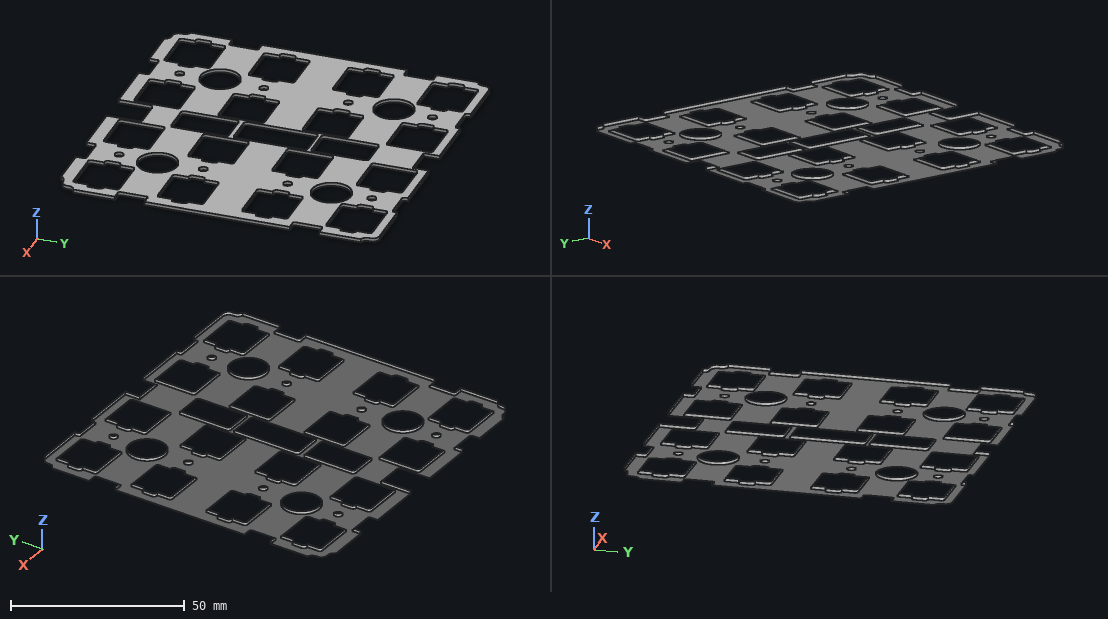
import cadquery as cq
import math

PLATE_SIDE = 100.0
PLATE_DEPTH = 98.5
THICKNESS = 1.11
FRONT_Y = -PLATE_DEPTH / 2
BACK_Y = PLATE_DEPTH / 2
CENTRE_Y = FRONT_Y + PLATE_SIDE / 2

CORNER_LENGTH = 6.0
CORNER_INSET = 1.5
CORNER_RADIUS = 2.0

PITCH = 25.8
OPENING = 14.05
OPENING_RADIUS = 0.8
WING_REACH = 8.3
WING_HEIGHT = 4.8
WING_RADIUS = 1.0

SCREW_DIAMETER = 2.6
LARGE_DIAMETER = 12.0
LARGE_OFFSET = 26.6

NOTCH_WIDTH = 9.0
NOTCH_OFFSET = 26.75
SIDE_NOTCH_DEPTH = 3.2
END_NOTCH_DEPTH = 3.1
NOTCH_RADIUS = 0.6

SLOT_WIDTH = 10.1
SLOT_RADIUS = 1.0
MIDDLE_SLOT_LENGTH = 22.6
OUTER_SLOT_LENGTH = 17.6
BACK_BRIDGE = 1.15
FRONT_BRIDGE = 1.6
FRONT_NOTCH_DEPTH = 10.7
BACK_NOTCH_WIDTH = 9.3
BACK_NOTCH_DEPTH = 4.9

SIGNS = (-1, 1)
COS_45 = math.sqrt(0.5)
ROW_FACTORS = (-1.5, -0.5, 0.5, 1.5)


def block(width, length, x, y, radius=0.0):
    """Through cutter centred on x, y, with rounded vertical edges if a radius is given."""
    solid = cq.Workplane("XY").center(x, y).rect(width, length).extrude(THICKNESS)
    if radius:
        solid = solid.edges("|Z").fillet(radius)
    return solid


def drill(points, diameter):
    return cq.Workplane("XY").pushPoints(points).circle(diameter / 2).extrude(THICKNESS)


def corner_cutter(sign_x, sign_y):
    """Cutter for one stepped corner: a thin L with a rounded bend and rounded ends."""
    edge = PLATE_SIDE / 2
    start = edge - CORNER_LENGTH
    step = edge - CORNER_INSET
    bend = step - CORNER_RADIUS
    bend_mid = bend + CORNER_RADIUS * COS_45
    arc_centre = step + CORNER_RADIUS
    end = start + math.sqrt(CORNER_RADIUS**2 - (arc_centre - edge) ** 2)
    end_across = arc_centre - CORNER_RADIUS * COS_45
    end_along = end - CORNER_RADIUS * COS_45

    def at(x, y):
        return sign_x * x, CENTRE_Y + sign_y * y

    return (
        cq.Workplane("XY")
        .moveTo(*at(edge, edge))
        .lineTo(*at(edge, start))
        .threePointArc(at(end_across, end_along), at(step, end))
        .lineTo(*at(step, bend))
        .threePointArc(at(bend_mid, bend_mid), at(bend, step))
        .lineTo(*at(end, step))
        .threePointArc(at(end_along, end_across), at(start, edge))
        .close()
        .extrude(THICKNESS)
    )


def switch_cutter(x, y, wing_sides):
    """Square switch opening with a rounded wing on each listed side."""
    cutter = block(OPENING, OPENING, x, y, OPENING_RADIUS)
    for side in wing_sides:
        wing = block(WING_REACH, WING_HEIGHT, x + side * WING_REACH / 2, y, WING_RADIUS)
        cutter = cutter.union(wing)
    return cutter


def make_plate():
    plate = block(PLATE_SIDE, PLATE_DEPTH, 0, 0)
    for sign_x in SIGNS:
        for sign_y in SIGNS:
            plate = plate.cut(corner_cutter(sign_x, sign_y))
    return plate


def cut_switch_openings(plate):
    """Inner openings have one wing, facing outward; outer ones have two."""
    for factor in ROW_FACTORS:
        y = CENTRE_Y + factor * PITCH
        for side in SIGNS:
            plate = plate.cut(switch_cutter(side * PITCH / 2, y, (side,)))
            plate = plate.cut(switch_cutter(side * PITCH * 1.5, y, SIGNS))
    return plate


def cut_round_holes(plate):
    screws = [(side * PITCH, CENTRE_Y + factor * PITCH) for side in SIGNS for factor in ROW_FACTORS]
    large = [(sx * LARGE_OFFSET, CENTRE_Y + sy * LARGE_OFFSET) for sx in SIGNS for sy in SIGNS]
    return plate.cut(drill(screws, SCREW_DIAMETER)).cut(drill(large, LARGE_DIAMETER))


def cut_edge_notches(plate):
    """Each cutter straddles an edge of the untrimmed square, so it is twice the notch depth."""
    for edge_side in SIGNS:
        edge = edge_side * PLATE_SIDE / 2
        for along_side in SIGNS:
            along = along_side * NOTCH_OFFSET
            side_notch = block(2 * SIDE_NOTCH_DEPTH, NOTCH_WIDTH, edge, CENTRE_Y + along, NOTCH_RADIUS)
            end_notch = block(NOTCH_WIDTH, 2 * END_NOTCH_DEPTH, along, CENTRE_Y + edge, NOTCH_RADIUS)
            plate = plate.cut(side_notch).cut(end_notch)
    return plate


def cut_central_slots(plate):
    """Three slots separated by thin bridges, and a notch at each end of their column."""
    slot_spacing = (MIDDLE_SLOT_LENGTH + OUTER_SLOT_LENGTH) / 2
    back_slot_y = CENTRE_Y + slot_spacing + BACK_BRIDGE
    front_slot_y = CENTRE_Y - slot_spacing - FRONT_BRIDGE
    plate = plate.cut(block(SLOT_WIDTH, MIDDLE_SLOT_LENGTH, 0, CENTRE_Y, SLOT_RADIUS))
    for y in (back_slot_y, front_slot_y):
        plate = plate.cut(block(SLOT_WIDTH, OUTER_SLOT_LENGTH, 0, y, SLOT_RADIUS))
    plate = plate.cut(block(SLOT_WIDTH, 2 * FRONT_NOTCH_DEPTH, 0, FRONT_Y, SLOT_RADIUS))
    return plate.cut(block(BACK_NOTCH_WIDTH, 2 * BACK_NOTCH_DEPTH, 0, BACK_Y))


result = make_plate()
result = cut_switch_openings(result)
result = cut_round_holes(result)
result = cut_edge_notches(result)
result = cut_central_slots(result)